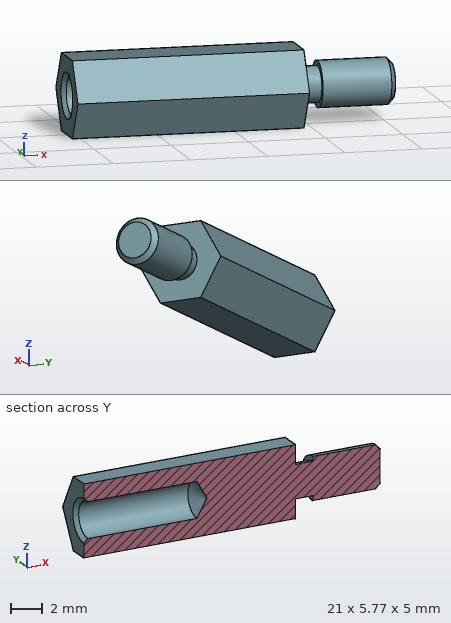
import cadquery as cq
import math

total_length = 21.0
stud_length = 6.0
body_length = total_length - stud_length
hexagon_sides = 6
across_flats = 5.0
half_side_angle = 180 / hexagon_sides
across_corners = across_flats / math.cos(math.radians(half_side_angle))

thread_diameter = 3.0
thread_radius = thread_diameter / 2
neck_diameter = 2.35
neck_radius = neck_diameter / 2
neck_length = 1.22
tip_chamfer = 0.34

bore_diameter = 2.45
bore_radius = bore_diameter / 2
bore_depth = 8.0
countersink_radius = thread_radius
countersink_depth = countersink_radius - bore_radius
drill_point_angle = 120.0
drill_point_depth = bore_radius / math.tan(math.radians(drill_point_angle / 2))


def revolve_about_x(profile_points):
    """Turn a closed (axial position, radius) profile around the X axis."""
    profile = cq.Workplane("XY").polyline(profile_points).close()
    return profile.revolve(360, (0, 0, 0), (1, 0, 0))


def make_body():
    """Hexagonal prism with corners on the +Y and -Y sides."""
    return cq.Workplane("YZ").polygon(hexagon_sides, across_corners).extrude(body_length)


def make_stud():
    """Stud with an undercut neck at the body and a chamfered tip."""
    thread_start = body_length + neck_length
    return revolve_about_x([
        (body_length, 0),
        (body_length, neck_radius),
        (thread_start, neck_radius),
        (thread_start, thread_radius),
        (total_length - tip_chamfer, thread_radius),
        (total_length, thread_radius - tip_chamfer),
        (total_length, 0),
    ])


def make_hole():
    """Countersunk bore ending in a conical drill point."""
    return revolve_about_x([
        (0, 0),
        (0, countersink_radius),
        (countersink_depth, bore_radius),
        (bore_depth, bore_radius),
        (bore_depth + drill_point_depth, 0),
    ])


result = make_body().union(make_stud()).cut(make_hole())